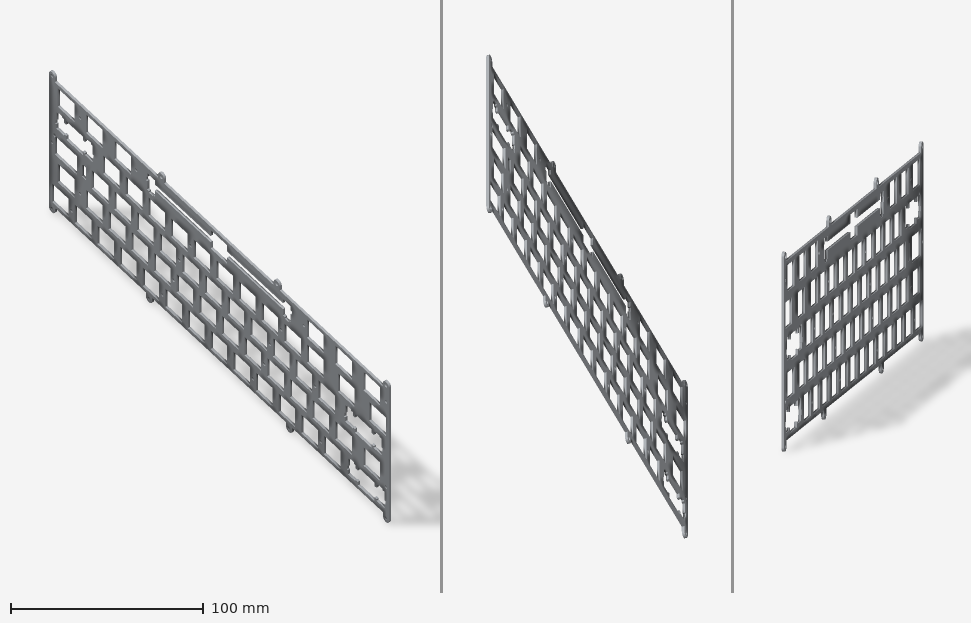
import cadquery as cq


LENGTH = 285.8
UNITS_ACROSS = 15
ROW_COUNT = 5
UNIT = LENGTH / UNITS_ACROSS
BODY_HEIGHT = ROW_COUNT * UNIT
OVERALL_HEIGHT = 106.0
THICKNESS = 1.5

EAR_HEIGHT = (OVERALL_HEIGHT - BODY_HEIGHT) / 2
EAR_RADIUS = 2.43
HOLE_DIAMETER = 2.0
EAR_HOLE_DIAMETER = 2.3
EAR_HOLE_OFFSET = 2.71
CORNER_EAR_X = LENGTH / 2 - EAR_RADIUS
TOP_EAR_X = 48.5
BOTTOM_EAR_X = 59.0

SWITCH = 14.0
SWITCH_ROWS = [
    [0.75, 2, 3.25, 7.5, 11.75, 13, 14.25],
    [2.75 + i for i in range(10)] + [13.125, 14.5],
    [2.25 + i for i in range(11)],
    [0.75] + [2 + i for i in range(12)] + [14.25],
    [0.5 + i for i in range(13)],
]

STAB_WIDTH = 6.5
STAB_SHORT_END = 5.5
STAB_LONG_END = 7.0
TAB_WIDTH = 3.5
TAB_REACH = 1.1
NOTCH_DEPTH = 1.0
NOTCH_LONG_END = 2.3
NOTCH_SHORT_END = 0.5
WIDE_KEYS = [(1.125, 1), (13.875, 2), (14, 4)]
WIDE_KEY_STAB_OFFSET = 12.0
WIDE_KEY_LINK_HEIGHT = 8.5
SPACEBAR_UNIT = 7.5
SPACEBAR_STAB_OFFSET = 3 * UNIT
SPACEBAR_LINK_HEIGHT = 4.5

CAPS_ROW = 2
CAPS_UNITS = (0.625, 0.875)
CAPS_SLOT_X = 29.5 - LENGTH / 2
CAPS_SLOT_WIDTH = 3.5
CAPS_SLOT_HEIGHT = 9.5
CAPS_RELIEF_RADIUS = 1.3

LEFT_END_INSET = 2.5
RIGHT_END_INSET = 2.3
LEFT_END = LEFT_END_INSET / UNIT
RIGHT_END = UNITS_ACROSS - RIGHT_END_INSET / UNIT
HOLE_ROWS = [
    [1.375, 3.85, 11.25, RIGHT_END],
    [6.25, 10.25],
    [LEFT_END, 5.75, 9.75, 11.75],
    [1.375, 5.5, 9.5],
    [1, 5, 9, 12],
]
LOWER_END_HOLE_Z = -26.5


def unit_x(units):
    return units * UNIT - LENGTH / 2


def row_z(row):
    return BODY_HEIGHT / 2 - (row + 0.5) * UNIT


def block(x_min, x_max, z_min, z_max):
    """Rectangular block spanning the plate thickness."""
    return (
        cq.Workplane("XZ")
        .center((x_min + x_max) / 2, (z_min + z_max) / 2)
        .rect(x_max - x_min, z_max - z_min)
        .extrude(THICKNESS / 2, both=True)
    )


def centred_block(x, z, width, height):
    return block(x - width / 2, x + width / 2, z - height / 2, z + height / 2)


def disc(x, z, radius):
    """Round disc spanning the plate thickness."""
    return cq.Workplane("XZ").center(x, z).circle(radius).extrude(THICKNESS / 2, both=True)


def ear(x, side):
    """Round-ended ear on the top (side = 1) or bottom (side = -1) edge."""
    edge_z = side * BODY_HEIGHT / 2
    centre_z = side * ear_centre_z
    neck = block(x - EAR_RADIUS, x + EAR_RADIUS, min(edge_z, centre_z), max(edge_z, centre_z))
    return neck.union(disc(x, centre_z, EAR_RADIUS))


def stabilizer(key_x, key_z, offset, link_height, long_side):
    """Pair of stabilizer openings linked through the key; long_side = 1 puts the tabs on top."""
    parts = [centred_block(key_x, key_z, 2 * offset, link_height)]
    body_ends = (-long_side * STAB_SHORT_END, long_side * STAB_LONG_END)
    tab_ends = (0, long_side * (STAB_LONG_END + TAB_REACH))
    notch_ends = (-long_side * NOTCH_LONG_END, long_side * NOTCH_SHORT_END)
    for side in (-1, 1):
        x = key_x + side * offset
        notch_x = x + side * NOTCH_DEPTH
        for centre_x, half, ends in (
            (x, STAB_WIDTH / 2, body_ends),
            (x, TAB_WIDTH / 2, tab_ends),
            (notch_x, STAB_WIDTH / 2, notch_ends),
        ):
            parts.append(block(centre_x - half, centre_x + half, key_z + min(ends), key_z + max(ends)))
    return parts


ear_centre_z = BODY_HEIGHT / 2 + EAR_HEIGHT - EAR_RADIUS
ears = []
for side, inner_x in ((1, TOP_EAR_X), (-1, BOTTOM_EAR_X)):
    for x in (-CORNER_EAR_X, -inner_x, inner_x, CORNER_EAR_X):
        ears.append((x, side))
plate = centred_block(0, 0, LENGTH, BODY_HEIGHT)
for x, side in ears:
    plate = plate.union(ear(x, side))

cutters = []
for row, key_units in enumerate(SWITCH_ROWS):
    for units in key_units:
        cutters.append(centred_block(unit_x(units), row_z(row), SWITCH, SWITCH))

for units, row in WIDE_KEYS:
    x = unit_x(units)
    z = row_z(row)
    cutters.append(centred_block(x, z, SWITCH, SWITCH))
    cutters += stabilizer(x, z, WIDE_KEY_STAB_OFFSET, WIDE_KEY_LINK_HEIGHT, 1)

cutters += stabilizer(unit_x(SPACEBAR_UNIT), row_z(0), SPACEBAR_STAB_OFFSET, SPACEBAR_LINK_HEIGHT, -1)

caps_z = row_z(CAPS_ROW)
caps_left = unit_x(CAPS_UNITS[0]) - SWITCH / 2
caps_right = unit_x(CAPS_UNITS[1]) + SWITCH / 2
cutters.append(block(caps_left, caps_right, caps_z - SWITCH / 2, caps_z + SWITCH / 2))
cutters.append(centred_block(CAPS_SLOT_X, caps_z, CAPS_SLOT_WIDTH, CAPS_SLOT_HEIGHT))
cutters.append(disc(caps_left, caps_z + SWITCH / 2, CAPS_RELIEF_RADIUS))

hole_points = [(unit_x(RIGHT_END), LOWER_END_HOLE_Z)]
for row, hole_units in enumerate(HOLE_ROWS):
    for units in hole_units:
        hole_points.append((unit_x(units), row_z(row)))
for x, z in hole_points:
    cutters.append(disc(x, z, HOLE_DIAMETER / 2))

ear_hole_z = BODY_HEIGHT / 2 + EAR_HOLE_OFFSET
for x, side in ears:
    cutters.append(disc(x, side * ear_hole_z, EAR_HOLE_DIAMETER / 2))

openings = [cutter.val() for cutter in cutters]
result = cq.Workplane("XZ").newObject([plate.val().cut(*openings).Solids()[0]])